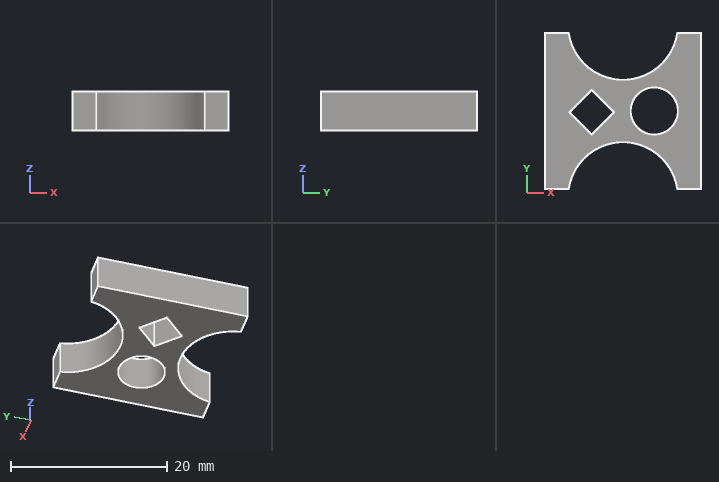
import cadquery as cq

plate_side = 20.0
plate_thickness = 5.0

bite_radius = 7.0
waist_width = 8.0
bite_center_y = waist_width / 2 + bite_radius

hole_offset_x = 4.0
round_hole_diameter = 6.0
square_hole_side = 4.0
square_hole_angle = 45.0
square_hole_y = -0.15

plate = cq.Workplane("XY").box(plate_side, plate_side, plate_thickness)

edge_bites = (
    cq.Workplane("XY")
    .pushPoints([(0, -bite_center_y), (0, bite_center_y)])
    .circle(bite_radius)
    .extrude(plate_thickness / 2, both=True)
)

round_hole = (
    cq.Workplane("XY")
    .center(hole_offset_x, 0)
    .circle(round_hole_diameter / 2)
    .extrude(plate_thickness / 2, both=True)
)

square_hole = (
    cq.Workplane("XY")
    .box(square_hole_side, square_hole_side, plate_thickness)
    .rotate((0, 0, 0), (0, 0, 1), square_hole_angle)
    .translate((-hole_offset_x, square_hole_y, 0))
)

result = plate.cut(edge_bites).cut(round_hole).cut(square_hole)